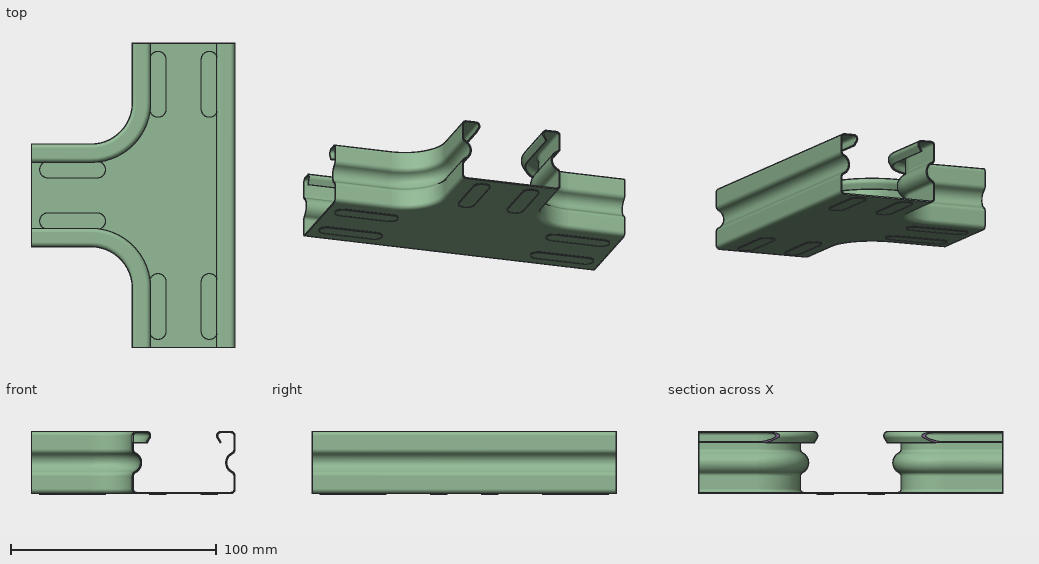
import cadquery as cq
import math

sheet = 0.6
channel_width = 50.0
wall_height = 30.2
run_length = 148.0
total_width = 99.0
corner_radius = 20.0

edge_bend = 2.1
lip_width = 9.0
lip_turn = 120.0
lip_tail = 2.8
groove_mid_height = 15.0
groove_half_height = 6.5
groove_depth = 4.0
groove_shoulder = 2.5

pad_length = 32.0
pad_width = 8.0
pad_drop = 0.4
recess_depth = 0.2
pad_end_gap = 4.0
pad_spacing = 25.0

half_run = run_length / 2
half_channel = channel_width / 2
near_wall_x = total_width - channel_width
leg_length = near_wall_x - corner_radius
floor_overlap = 1.0


def section_moves():
    """Outer wall surface from floor to lip tip, as (straight length, 0) or (radius, turn angle).

    A positive turn is clockwise, with the inside of the channel on the right.
    """
    lean = 2 * math.atan2(groove_depth, groove_half_height)
    valley_radius = groove_half_height / math.sin(lean) - groove_shoulder
    groove_slope = math.degrees(lean)
    lower_wall = groove_mid_height - groove_half_height - edge_bend
    upper_wall = wall_height - edge_bend - groove_mid_height - groove_half_height
    lip_flat = lip_width - 2 * edge_bend
    return [
        (floor_overlap, 0),
        (edge_bend, 90),
        (lower_wall, 0),
        (groove_shoulder, groove_slope),
        (valley_radius, -2 * groove_slope),
        (groove_shoulder, groove_slope),
        (upper_wall, 0),
        (edge_bend, 90),
        (lip_flat, 0),
        (edge_bend, lip_turn),
        (lip_tail, 0),
    ]


def wall_section(plane):
    """Closed sheet section of a wall; local x runs inward from the outer wall face, local y runs up."""
    x = edge_bend + floor_overlap
    y = 0.0
    heading = math.pi

    def pair():
        """Matching points on the outer and inner sheet faces."""
        inside = heading - math.pi / 2
        return (x, y), (x + sheet * math.cos(inside), y + sheet * math.sin(inside))

    stations = [pair()]
    mids = []
    for size, turn in section_moves():
        if turn == 0:
            x += size * math.cos(heading)
            y += size * math.sin(heading)
            mids.append(None)
            stations.append(pair())
            continue
        half_turn = math.radians(turn) / 2
        half_chord = 2 * size * math.sin(abs(half_turn) / 2)
        for reached in (mids, stations):
            chord_heading = heading - half_turn / 2
            x += half_chord * math.cos(chord_heading)
            y += half_chord * math.sin(chord_heading)
            heading -= half_turn
            reached.append(pair())

    outline = cq.Workplane(plane).moveTo(*stations[0][0])
    for mid, end in zip(mids, stations[1:]):
        outline = outline.lineTo(*end[0]) if mid is None else outline.threePointArc(mid[0], end[0])
    outline = outline.lineTo(*stations[-1][1])
    for mid, end in zip(reversed(mids), reversed(stations[:-1])):
        outline = outline.lineTo(*end[1]) if mid is None else outline.threePointArc(mid[1], end[1])
    return outline.close()


def far_wall():
    """Straight wall along the whole main run, opposite the branch."""
    plane = cq.Plane(origin=(total_width, half_run, 0), xDir=(-1, 0, 0), normal=(0, 1, 0))
    return wall_section(plane).extrude(-run_length)


def corner_wall():
    """Wall from the branch mouth round the corner to the +Y end of the main run."""
    branch_plane = cq.Plane(origin=(0, half_channel, 0), xDir=(0, -1, 0), normal=(-1, 0, 0))
    branch_leg = wall_section(branch_plane).extrude(-leg_length)
    run_plane = cq.Plane(origin=(near_wall_x, half_run, 0), xDir=(1, 0, 0), normal=(0, -1, 0))
    run_leg = wall_section(run_plane).extrude(leg_length)
    bend_plane = cq.Plane(origin=(leg_length, half_channel, 0), xDir=(0, -1, 0), normal=(-1, 0, 0))
    bend = wall_section(bend_plane).revolve(90, (-corner_radius, 0, 0), (-corner_radius, 1, 0))
    return branch_leg.union(run_leg).union(bend)


def floor():
    """Flat T-shaped floor, ending where the walls start to bend up."""
    near_x = near_wall_x + edge_bend
    far_x = total_width - edge_bend
    branch_y = half_channel - edge_bend
    arc_y = half_channel + corner_radius
    diagonal = (corner_radius + edge_bend) * math.sqrt(0.5)
    return (
        cq.Workplane("XY")
        .moveTo(0, -branch_y)
        .lineTo(leg_length, -branch_y)
        .threePointArc((leg_length + diagonal, -arc_y + diagonal), (near_x, -arc_y))
        .lineTo(near_x, -half_run)
        .lineTo(far_x, -half_run)
        .lineTo(far_x, half_run)
        .lineTo(near_x, half_run)
        .lineTo(near_x, arc_y)
        .threePointArc((leg_length + diagonal, arc_y - diagonal), (leg_length, branch_y))
        .lineTo(0, branch_y)
        .close()
        .extrude(sheet)
    )


def pad_slots(bottom, height):
    """Slot-shaped solids, a pair at each channel mouth."""
    mid_reach = pad_end_gap + pad_length / 2
    run_mid_x = total_width - half_channel
    offsets = (-pad_spacing / 2, pad_spacing / 2)
    branch_spots = [(mid_reach, offset) for offset in offsets]
    run_spots = [(run_mid_x + offset, end * (half_run - mid_reach)) for offset in offsets for end in (-1, 1)]
    base = cq.Workplane("XY").workplane(offset=bottom)
    branch_slots = base.pushPoints(branch_spots).slot2D(pad_length, pad_width).extrude(height)
    run_slots = base.pushPoints(run_spots).slot2D(pad_length, pad_width, 90).extrude(height)
    return branch_slots.union(run_slots)


corner = corner_wall()
shell = floor().union(far_wall()).union(corner).union(corner.mirror("XZ"))
pads = pad_slots(-pad_drop, pad_drop)
recesses = pad_slots(sheet - recess_depth, recess_depth)
result = shell.union(pads).cut(recesses)